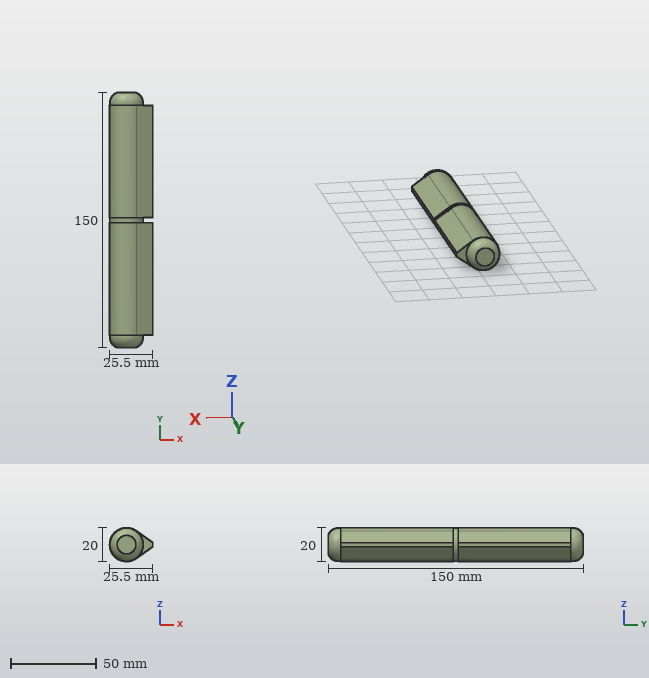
import cadquery as cq
import math

total_length = 150.0
barrel_diameter = 20.0
core_diameter = 19.8
washer_thickness = 3.0
cap_length = 7.5
cap_rounding_radius = 6.5
cap_flat_diameter = 11.0
nose_reach = 15.5
nose_tip_width = 2.5

half_length = total_length / 2
barrel_radius = barrel_diameter / 2
core_radius = core_diameter / 2
cap_start = half_length - cap_length
barrel_length = cap_start - washer_thickness / 2


def nose_tangent_point():
    """Point (x, z) where the upper nose flank leaves the barrel circle tangentially."""
    tip_half_width = nose_tip_width / 2
    tip_distance = math.hypot(nose_reach, tip_half_width)
    tip_angle = math.atan2(tip_half_width, nose_reach)
    tangent_angle = tip_angle + math.acos(barrel_radius / tip_distance)
    return barrel_radius * math.cos(tangent_angle), barrel_radius * math.sin(tangent_angle)


def make_barrel(y_start):
    """Teardrop barrel running from y_start toward +Y."""
    tangent_x, tangent_z = nose_tangent_point()
    return (
        cq.Workplane("XZ", origin=(0, y_start, 0))
        .moveTo(tangent_x, tangent_z)
        .threePointArc((-barrel_radius, 0), (tangent_x, -tangent_z))
        .lineTo(nose_reach, -nose_tip_width / 2)
        .lineTo(nose_reach, nose_tip_width / 2)
        .close()
        .extrude(-barrel_length)
    )


def make_core():
    """Round bar between the caps; the part left exposed between the barrels is the washer."""
    bar_length = 2 * cap_start
    return cq.Workplane("XZ", origin=(0, -cap_start, 0)).circle(core_radius).extrude(-bar_length)


def make_cap():
    """Cap on the +Y end, its side one arc that bulges to the core radius just beyond the barrel."""
    flat_radius = cap_flat_diameter / 2
    arc_center_radius = core_radius - cap_rounding_radius
    widest_y = half_length - math.sqrt(cap_rounding_radius**2 - (flat_radius - arc_center_radius) ** 2)
    base_radius = arc_center_radius + math.sqrt(cap_rounding_radius**2 - (widest_y - cap_start) ** 2)
    return (
        cq.Workplane("YZ")
        .moveTo(cap_start, 0)
        .lineTo(cap_start, base_radius)
        .threePointArc((widest_y, core_radius), (half_length, flat_radius))
        .lineTo(half_length, 0)
        .close()
        .revolve(360, (0, 0, 0), (1, 0, 0))
    )


result = make_core()
for barrel_start in (-cap_start, washer_thickness / 2):
    result = result.union(make_barrel(barrel_start))

cap = make_cap()
result = result.union(cap).union(cap.mirror("XZ"))